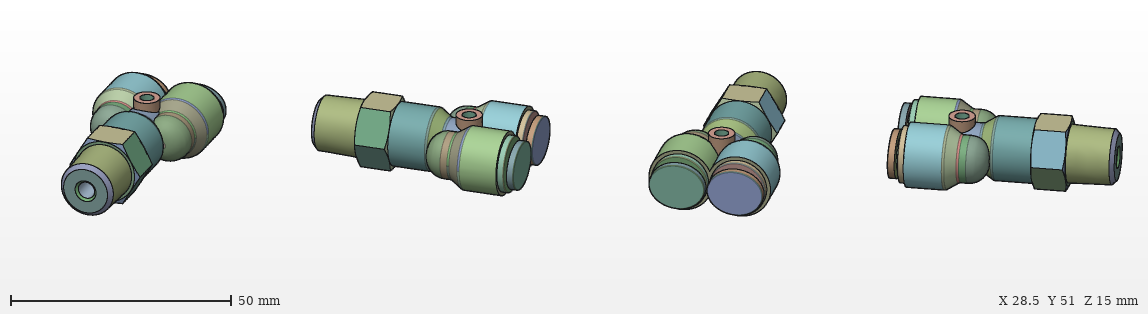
import cadquery as cq
import math

TOTAL_LENGTH = 50.95

STUD_HEX_START = 11.0
STUD_HEX_END = 18.95
HEX_ACROSS_FLATS = 15.0
HEX_CORNER_DROP = 0.4
THREAD_TIP_DIAMETER = 12.85
THREAD_CHAMFER = 1.0
THREAD_TAPER = 1 / 16
BORE_DIAMETER = 4.0
BORE_CHAMFER = 0.55

BODY_DIAMETER = 14.9
NECK_DIAMETER = 11.0
OVERALL_WIDTH = 28.5
SHOULDER_LENGTH = 3.0
SHOULDER_FILLET = 1.0
BARREL_SHOULDER = 28.0
SOCKET_SHOULDER = 38.0
SOCKET_CLOSED_END = 28.5
SOCKET_END_FILLET = 4.6
SOCKET_OPEN_END = 47.1
EYE_DIAMETER = 6.0
EYE_HOLE_DIAMETER = 3.2
EYE_HEIGHT = BODY_DIAMETER
EYE_Y = 35.95

COLLAR_DIAMETER = 13.15
COLLAR_END = 48.6
RING_STEM_DIAMETER = 7.5
RING_FLANGE_WIDTH = 13.0
RING_FLANGE_HEIGHT = 10.9
RING_FLANGE_START = 49.3
EDGE_FILLET = 0.15

SOCKET_OFFSET = (OVERALL_WIDTH - BODY_DIAMETER) / 2
SOCKET_POSITIONS = (-SOCKET_OFFSET, SOCKET_OFFSET)


def turned(profile):
    """Revolve (radius, y) points, which start and end on the axis, about the Y axis."""
    return cq.Workplane("XY").polyline(profile).close().revolve(360, (0, 0), (0, 1))


def along_y(start):
    """Workplane at y = start whose normal points along +Y."""
    return cq.Workplane("XZ", origin=(0, start, 0)).transformed(rotate=(180, 0, 0))


def cylinder(diameter, start, end):
    return along_y(start).circle(diameter / 2).extrude(end - start)


def necked_cylinder(wide_end, shoulder, neck_end):
    """Cylinder that narrows through a cone to the neck, with both cone edges rounded."""
    direction = 1 if neck_end > wide_end else -1
    neck_start = shoulder + direction * SHOULDER_LENGTH
    body = turned([
        (0, wide_end),
        (BODY_DIAMETER / 2, wide_end),
        (BODY_DIAMETER / 2, shoulder),
        (NECK_DIAMETER / 2, neck_start),
        (NECK_DIAMETER / 2, neck_end),
        (0, neck_end),
    ])
    for edge_y in (shoulder, neck_start):
        body = body.edges(cq.NearestToPointSelector((0, edge_y, 0))).fillet(SHOULDER_FILLET)
    return body


def make_socket():
    socket = necked_cylinder(SOCKET_OPEN_END, SOCKET_SHOULDER, SOCKET_CLOSED_END)
    return socket.faces("<Y").edges().fillet(SOCKET_END_FILLET)


def make_housing():
    housing = necked_cylinder(STUD_HEX_END, BARREL_SHOULDER, EYE_Y)
    socket = make_socket()
    for x in SOCKET_POSITIONS:
        housing = housing.union(socket.translate((x, 0, 0)))
    eye_plane = cq.Workplane("XY", origin=(0, EYE_Y, -EYE_HEIGHT / 2))
    housing = housing.union(eye_plane.circle(EYE_DIAMETER / 2).extrude(EYE_HEIGHT))
    return housing.cut(eye_plane.circle(EYE_HOLE_DIAMETER / 2).extrude(EYE_HEIGHT))


def make_hex():
    """Hexagon with flats facing +Z and -Z, its corners turned to a shallow cone at both ends."""
    across_corners = HEX_ACROSS_FLATS / math.cos(math.radians(30))
    prism = along_y(STUD_HEX_START).polygon(6, across_corners).extrude(STUD_HEX_END - STUD_HEX_START)
    corner_envelope = turned([
        (0, STUD_HEX_START),
        (BODY_DIAMETER / 2, STUD_HEX_START),
        (across_corners / 2, STUD_HEX_START + HEX_CORNER_DROP),
        (across_corners / 2, STUD_HEX_END - HEX_CORNER_DROP),
        (BODY_DIAMETER / 2, STUD_HEX_END),
        (0, STUD_HEX_END),
    ])
    return prism.intersect(corner_envelope)


def make_stud():
    """Hexagon with a taper thread blank, bored along its whole length."""
    tip_radius = THREAD_TIP_DIAMETER / 2
    root_radius = tip_radius + (STUD_HEX_START - THREAD_CHAMFER) * THREAD_TAPER / 2
    thread = turned([
        (0, 0),
        (tip_radius - THREAD_CHAMFER, 0),
        (tip_radius, THREAD_CHAMFER),
        (root_radius, STUD_HEX_START),
        (0, STUD_HEX_START),
    ])
    bore = cylinder(BORE_DIAMETER, 0, STUD_HEX_END)
    bored_stud = make_hex().union(thread).cut(bore)
    bore_mouth = bored_stud.faces("<Y").edges(cq.selectors.RadiusNthSelector(0))
    return bore_mouth.chamfer(BORE_CHAMFER)


def make_collar(x):
    collar = cylinder(COLLAR_DIAMETER, SOCKET_OPEN_END, COLLAR_END)
    return collar.faces(">Y").edges().fillet(EDGE_FILLET).translate((x, 0, 0))


def make_push_ring(x):
    """Round stem that carries an oval flange."""
    flange = (
        along_y(RING_FLANGE_START)
        .ellipse(RING_FLANGE_WIDTH / 2, RING_FLANGE_HEIGHT / 2)
        .extrude(TOTAL_LENGTH - RING_FLANGE_START)
        .faces(">Y")
        .edges()
        .fillet(EDGE_FILLET)
    )
    stem = cylinder(RING_STEM_DIAMETER, COLLAR_END, RING_FLANGE_START)
    return flange.union(stem).translate((x, 0, 0))


housing = make_housing()
stud = make_stud()
collars = [make_collar(x).val() for x in SOCKET_POSITIONS]
push_rings = [make_push_ring(x).val() for x in SOCKET_POSITIONS]

result = cq.Compound.makeCompound([housing.val(), stud.val(), *collars, *push_rings])